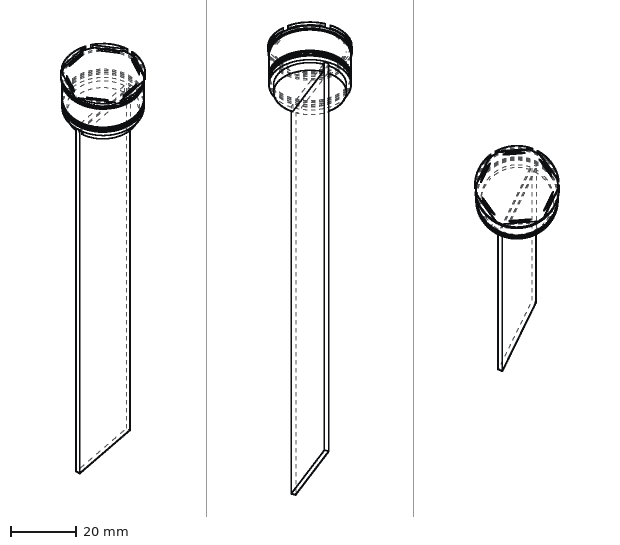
import cadquery as cq
import math

total_height = 164.0
cap_height = 11.5
base_flange_height = 2.8
spigot_length = 3.0
cap_bottom = total_height - cap_height
flange_bottom = cap_bottom - base_flange_height
spigot_bottom = flange_bottom - spigot_length

rim_thickness = 1.1
body_radius = 12.6
rim_overhang = 0.38
rim_radius = body_radius + rim_overhang
groove_depth = 0.25
groove_width = 0.7
upper_groove_top = total_height - 2.1
lower_groove_top = cap_bottom + 0.8
base_groove_top = cap_bottom - 0.7
spigot_radius = 11.2

recess_apothem = 11.6
tab_apothem = 10.7
tab_height = 0.8
hexagon_sides = 6

blade_thickness = 1.5
blade_width = 24.3


def disc(radius, bottom, height):
    return cq.Workplane("XY").workplane(offset=bottom).circle(radius).extrude(height)


def hexagon(apothem, bottom, height):
    """Hexagonal prism with two of its flats facing -X and +X."""
    corner_diameter = 2 * apothem / math.cos(math.pi / hexagon_sides)
    prism = cq.Workplane("XY").polygon(hexagon_sides, corner_diameter).extrude(height)
    half_step = 180 / hexagon_sides
    return prism.rotate((0, 0, 0), (0, 0, 1), half_step).translate((0, 0, bottom))


def vee_groove(top):
    """Ring with a triangular section that cuts a V-groove around the body."""
    section = [
        (body_radius, top),
        (body_radius - groove_depth, top - groove_width / 2),
        (body_radius, top - groove_width),
    ]
    return cq.Workplane("XZ").polyline(section).close().revolve(360, (0, 0), (0, 1))


def make_cap():
    rim_bottom = total_height - rim_thickness
    cap = disc(body_radius, cap_bottom, cap_height - rim_thickness)
    cap = cap.union(disc(rim_radius, rim_bottom, rim_thickness))

    cap = cap.cut(hexagon(recess_apothem, rim_bottom, rim_thickness))

    tabs = disc(spigot_radius, rim_bottom, tab_height)
    cap = cap.union(tabs.cut(hexagon(tab_apothem, rim_bottom, tab_height)))

    for top in (upper_groove_top, lower_groove_top):
        cap = cap.cut(vee_groove(top))
    return cap


def make_blade():
    return cq.Workplane("XY").box(
        blade_thickness, blade_width, flange_bottom, centered=(True, True, False)
    )


def make_base(blade):
    flange = disc(body_radius, flange_bottom, base_flange_height)
    flange = flange.cut(vee_groove(base_groove_top))
    spigot = disc(spigot_radius, spigot_bottom, spigot_length)
    return flange.union(spigot).cut(blade)


cap = make_cap()
blade = make_blade()
base = make_base(blade)

result = cq.Compound.makeCompound([cap.val(), base.val(), blade.val()])